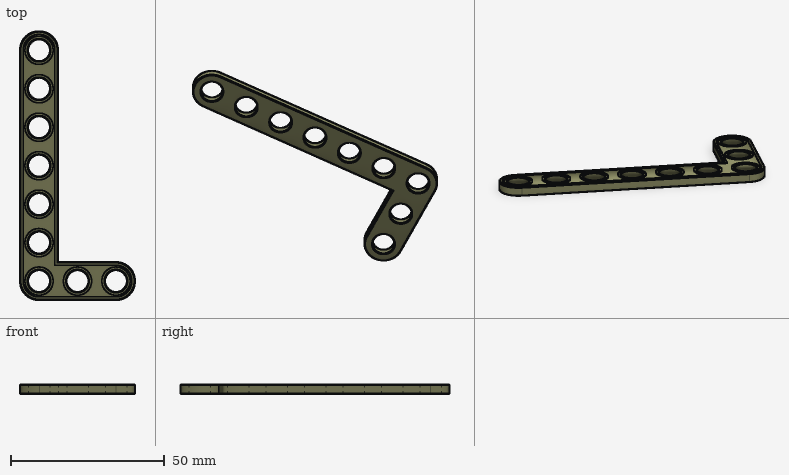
import cadquery as cq
import math

length = 87.5
thickness = 3.15
holes_long_arm = 7
holes_short_arm = 3
hole_diameter = 7.0
collar_diameter = 9.2
pocket_width = 10.3
pocket_depth = 0.22
outer_chamfer = 0.3
hole_chamfer = 0.3

pitch = length / holes_long_arm
long_run = (holes_long_arm - 1) * pitch
short_run = (holes_short_arm - 1) * pitch

hole_centres = [(0, row * pitch) for row in range(holes_long_arm)]
hole_centres += [(column * pitch, 0) for column in range(1, holes_short_arm)]


def angle_plate(half_width, height):
    """L-shaped plate on z = 0 with round arm ends and a round outer corner."""
    corner_middle = -half_width * math.sqrt(0.5)
    return (
        cq.Workplane("XY")
        .moveTo(-half_width, 0)
        .lineTo(-half_width, long_run)
        .threePointArc((0, long_run + half_width), (half_width, long_run))
        .lineTo(half_width, half_width)
        .lineTo(short_run, half_width)
        .threePointArc((short_run + half_width, 0), (short_run, -half_width))
        .lineTo(0, -half_width)
        .threePointArc((corner_middle, corner_middle), (-half_width, 0))
        .close()
        .extrude(height)
    )


def discs(diameter, height):
    """Upright discs standing on z = 0 at every hole centre."""
    return cq.Workplane("XY").pushPoints(hole_centres).circle(diameter / 2).extrude(height)


def chamfered_holes():
    """Through-hole cutter that widens to a chamfer at both faces."""
    hole_radius = hole_diameter / 2
    mouth_radius = hole_radius + hole_chamfer
    cutter = (
        cq.Workplane("XZ")
        .lineTo(mouth_radius, 0)
        .lineTo(hole_radius, hole_chamfer)
        .lineTo(hole_radius, thickness - hole_chamfer)
        .lineTo(mouth_radius, thickness)
        .lineTo(0, thickness)
        .close()
        .revolve(360, (0, 0), (0, 1))
        .val()
    )
    return cq.Workplane("XY").pushPoints(hole_centres).eachpoint(lambda place: cutter.moved(place))


plate = angle_plate(pitch / 2, thickness).faces("<Z or >Z").edges().chamfer(outer_chamfer)

pocket = angle_plate(pocket_width / 2, pocket_depth).cut(discs(collar_diameter, pocket_depth))
plate = plate.cut(pocket.translate((0, 0, thickness - pocket_depth)))

result = plate.cut(chamfered_holes())